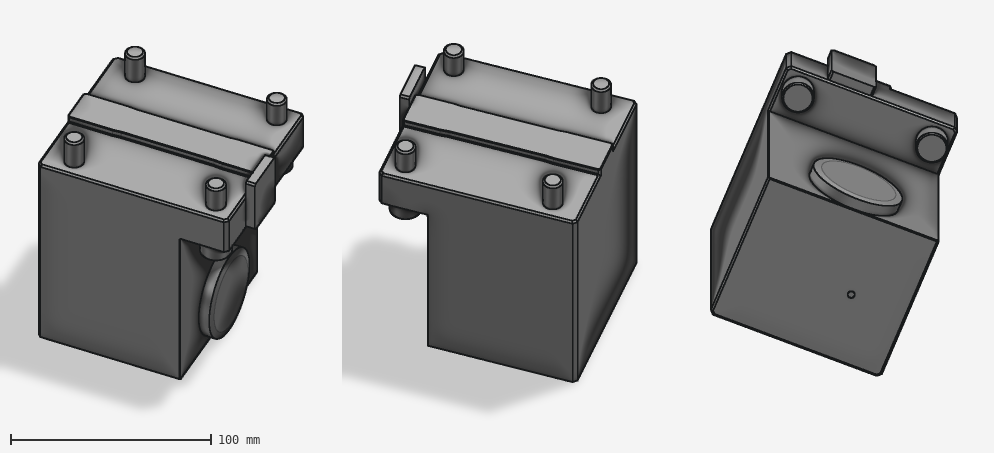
import cadquery as cq

width = 92.0
body_length = 78.8
arm_length = 105.0
deck_z = 114.6
arm_thickness = 21.5
arm_bottom_z = deck_z - arm_thickness
nub_height = 0.5
floor_z = nub_height
edge_chamfer = 1.0
corner_chamfer = 2.0
body_end_chamfer = 0.5

rail_width = 20.1
rail_height = 3.5
waist_depth = 0.4
waist_length = 50.9
waist_slope_length = 4.6
rail_top_chamfer = 0.4
rail_foot_flare = 0.5

pin_diameter = 10.0
pin_chamfer = 1.0
pin_spacing_y = 72.0
body_pin_x = 15.9
arm_pin_x = 94.0
top_z = 130.5
arm_pin_top_z = 128.5
head_diameter = 16.0
head_height = 9.4
head_chamfer = 0.8

plate_end_x = 110.0
plate_width = 24.0
plate_height = 30.0
plate_top_z = 124.0
plate_center_y = -12.4
plate_chamfer = 1.0

cover_diameter = 47.8
cover_face_diameter = 40.0
cover_thickness = 6.5
cover_edge_height = 0.8
cover_center_z = 24.5

nub_diameter = 3.5
nub_x = 36.2
nub_y = 15.8


def prism(length, bottom_z, upper_z):
    """Rectangular block starting at X = 0 and centred on Y = 0."""
    return (
        cq.Workplane("XY", origin=(0, 0, bottom_z))
        .rect(length, width)
        .extrude(upper_z - bottom_z)
        .translate((length / 2, 0, 0))
    )


def bevel_corners(block, x, inward, size, height):
    """Bevel the two vertical corners at x, from Z = 0 up to the given height."""
    for side in (-1, 1):
        y = side * width / 2
        cutter = (
            cq.Workplane("XY")
            .moveTo(x, y)
            .lineTo(x + inward * size, y)
            .lineTo(x, y - side * size)
            .close()
            .extrude(height)
        )
        block = block.cut(cutter)
    return block


def make_block():
    block = prism(body_length, floor_z, deck_z).union(prism(arm_length, arm_bottom_z, deck_z))
    block = bevel_corners(block, 0, 1, corner_chamfer, deck_z)
    block = bevel_corners(block, arm_length, -1, corner_chamfer, deck_z)
    block = block.faces(">Z").edges().chamfer(edge_chamfer)
    block = block.faces("<Z").edges("not >X").chamfer(edge_chamfer)
    arm_underside = cq.selectors.NearestToPointSelector(
        ((body_length + arm_length) / 2, 0, arm_bottom_z)
    )
    block = block.faces(arm_underside).edges("not <X").chamfer(edge_chamfer)
    block = block.faces("<Z").edges(">X").chamfer(body_end_chamfer)
    return bevel_corners(block, body_length, -1, body_end_chamfer, arm_bottom_z)


def rail_outline(start_x, end_x, half_width):
    """Closed outline of the rail, narrower along its waist."""
    middle_x = (body_pin_x + arm_pin_x) / 2
    inner = waist_length / 2
    outer = inner + waist_slope_length
    side = [
        (start_x, half_width),
        (middle_x - outer, half_width),
        (middle_x - inner, half_width - waist_depth),
        (middle_x + inner, half_width - waist_depth),
        (middle_x + outer, half_width),
        (end_x, half_width),
    ]
    return side + [(x, -y) for x, y in reversed(side)]


def make_rail():
    root_depth = 2 * edge_chamfer
    rail = (
        cq.Workplane("XY", origin=(0, 0, deck_z - root_depth))
        .polyline(rail_outline(0, arm_length, rail_width / 2))
        .close()
        .extrude(root_depth + rail_height)
        .edges("|Z and (<X or >X)")
        .chamfer(edge_chamfer)
        .faces(">Z")
        .edges()
        .chamfer(rail_top_chamfer)
    )
    flared_half_width = rail_width / 2 + rail_foot_flare
    foot = (
        cq.Workplane("XY", origin=(0, 0, deck_z))
        .polyline(rail_outline(edge_chamfer, arm_length - edge_chamfer, flared_half_width))
        .close()
        .extrude(rail_foot_flare, taper=45)
    )
    return rail.union(foot)


def make_pin(x, y, tip_z):
    return (
        cq.Workplane("XY", origin=(x, y, arm_bottom_z))
        .circle(pin_diameter / 2)
        .extrude(tip_z - arm_bottom_z)
        .faces(">Z")
        .chamfer(pin_chamfer)
    )


def make_head(y):
    return (
        cq.Workplane("XY", origin=(arm_pin_x, y, arm_bottom_z))
        .circle(head_diameter / 2)
        .extrude(-head_height)
        .faces("<Z")
        .chamfer(head_chamfer)
    )


def make_plate():
    return (
        cq.Workplane("YZ", origin=(arm_length, plate_center_y, plate_top_z - plate_height / 2))
        .rect(plate_width, plate_height)
        .extrude(plate_end_x - arm_length)
        .edges("|X")
        .chamfer(plate_chamfer)
    )


def make_cover():
    straight = cover_thickness - cover_edge_height
    return (
        cq.Workplane("XZ", origin=(body_length, 0, cover_center_z))
        .lineTo(0, cover_diameter / 2)
        .lineTo(straight, cover_diameter / 2)
        .lineTo(cover_thickness, cover_face_diameter / 2)
        .lineTo(cover_thickness, 0)
        .close()
        .revolve(360, (0, 0, 0), (1, 0, 0))
    )


def make_nub():
    return cq.Workplane("XY", origin=(nub_x, nub_y, 0)).circle(nub_diameter / 2).extrude(2 * nub_height)


result = make_block().union(make_rail()).union(make_plate()).union(make_cover()).union(make_nub())
for pin_y in (-pin_spacing_y / 2, pin_spacing_y / 2):
    result = result.union(make_pin(body_pin_x, pin_y, top_z))
    result = result.union(make_pin(arm_pin_x, pin_y, arm_pin_top_z))
    result = result.union(make_head(pin_y))